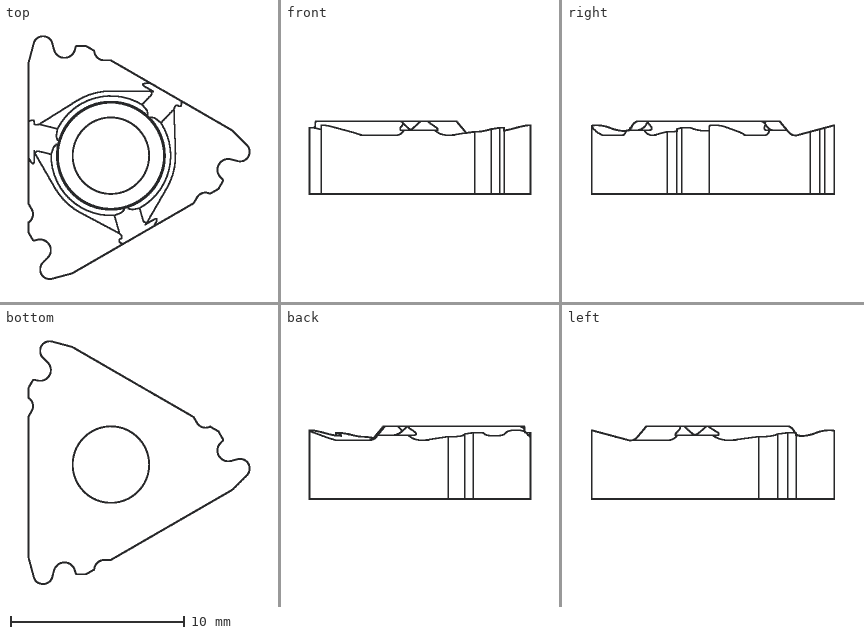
import cadquery as cq
import math

LENGTH = 14.02
HEIGHT = 4.2
CORNERS = 3
CORNER_TURN = 360.0 / CORNERS

WALL = 4.77
SIDE_ANGLE = 180 - CORNER_TURN
RELIEF_ANGLE = 15.0
TOOTH_R = 0.56
TOOTH_CENTRE_Y = 6.34
NOTCH_R = 0.62
NOTCH_CENTRE_Y = 6.27
NOTCH_END_ANGLE = -15.0
CREST_Y = 6.34
CREST_ROUND = 0.11
STEP_Y = 5.51
STEP_R = 0.56
STEP_CENTRE_X = -0.39

FLOOR_Z = 3.39
RAMP_START = 4.71
RAMP_ANGLE = 15.0
RAMP_BLEND_R = 0.48
CLEARANCE = 0.56
SELECT_GAP = 0.01
BLANK_R = 9.11
ROOT_REACH = 7.01

BOSS_TOP = 3.73
BOSS_SLOPE = 50.0
BOSS_TURN = 32.0
BOSS_ROOT_R = 0.49

LEDGE_Z = 3.67
LEDGE_DEPTH = 0.34
LEDGE_CUT_LENGTH = 5.61
LEDGE_ROOT_R = 0.22

GROOVE_FLOOR_Z = 3.69
GROOVE_FLOOR = 0.39
GROOVE_TOP = 1.51
GROOVE_ROOT_R = 0.42
GROOVE_MOUTH_R = 0.22
GROOVE_INNER = 1.4

HOLE_R = 4.4 / 2
HOLE_STRAIGHT = 0.83
SEAT_TOP_R = 2.86
SEAT_TOP_Z = 2.41
BORE_R = 2.97
BORE_LEAN = 5.0
BORE_RIM = 0.07
RECESS_TOP_R = 3.45
RECESS_ROOT_TOP_R = 3.36
RECESS_ROOT_R = 0.22


def polar(radius, degrees, centre=(0.0, 0.0)):
    angle = math.radians(degrees)
    return (centre[0] + radius * math.cos(angle), centre[1] + radius * math.sin(angle))


def turned(point, degrees):
    return polar(math.hypot(*point), math.degrees(math.atan2(point[1], point[0])) + degrees)


def at_each_corner(shape):
    """Union of the shape and its copies turned to the other corners."""
    copies = shape
    for i in range(1, CORNERS):
        copies = copies.union(shape.rotate((0, 0, 0), (0, 0, 1), i * CORNER_TURN))
    return copies


def side_point_at_height(y):
    """Point at the given y on the straight side that faces SIDE_ANGLE."""
    facing = polar(1, SIDE_ANGLE)
    return ((WALL - y * facing[1]) / facing[0], y)


def corner_pieces():
    """Start point and pieces of one corner, clockwise; (end,) is a line, (middle, end) an arc."""
    turn = math.radians(CORNER_TURN)
    tooth_x = -(LENGTH - 2 * TOOTH_R - TOOTH_CENTRE_Y * (1 - math.cos(turn))) / math.sin(turn)
    tooth = (tooth_x, TOOTH_CENTRE_Y)
    tooth_start = polar(TOOTH_R, 180 - RELIEF_ANGLE, tooth)
    tooth_end = polar(TOOTH_R, RELIEF_ANGLE, tooth)
    lean = math.tan(math.radians(RELIEF_ANGLE))
    relief_start = (-WALL, tooth_start[1] - (tooth_start[0] + WALL) / lean)

    flank_reach = (TOOTH_R + NOTCH_R) / math.cos(math.radians(RELIEF_ANGLE))
    notch = (tooth[0] + flank_reach + (TOOTH_CENTRE_Y - NOTCH_CENTRE_Y) * lean, NOTCH_CENTRE_Y)
    notch_start = polar(NOTCH_R, 180 + RELIEF_ANGLE, notch)
    notch_end = polar(NOTCH_R, NOTCH_END_ANGLE, notch)

    rise = math.radians(90 + NOTCH_END_ANGLE)
    edge_x = notch_end[0] + (CREST_Y - notch_end[1]) / math.tan(rise)
    tangent = CREST_ROUND * math.tan(rise / 2)
    round_start = (edge_x - tangent * math.cos(rise), CREST_Y - tangent * math.sin(rise))
    round_end = (edge_x + tangent, CREST_Y)
    round_centre = (round_end[0], CREST_Y - CREST_ROUND)
    round_middle = polar(CREST_ROUND, 90 + math.degrees(rise) / 2, round_centre)

    step = (STEP_CENTRE_X, STEP_Y + STEP_R)
    facing = polar(1, SIDE_ANGLE)
    outside = step[0] * facing[0] + step[1] * facing[1] - WALL
    start_angle = SIDE_ANGLE + 180 - math.degrees(math.acos(outside / STEP_R))
    step_start = polar(STEP_R, start_angle, step)
    step_middle = polar(STEP_R, (start_angle + 270) / 2, step)

    return relief_start, [
        (tooth_start,),
        (polar(TOOTH_R, 90, tooth), tooth_end),
        (notch_start,),
        (polar(NOTCH_R, 270, notch), notch_end),
        (round_start,),
        (round_middle, round_end),
        (side_point_at_height(CREST_Y),),
        (step_start,),
        (step_middle, (STEP_CENTRE_X, STEP_Y)),
        (side_point_at_height(STEP_Y),),
    ]


def outline_prism():
    start, pieces = corner_pieces()
    path = cq.Workplane("XY").moveTo(*start)
    for i in range(CORNERS):
        turn = -i * CORNER_TURN
        if i > 0:
            path = path.lineTo(*turned(start, turn))
        for piece in pieces:
            points = [turned(point, turn) for point in piece]
            path = path.lineTo(*points[0]) if len(points) == 1 else path.threePointArc(*points)
    return path.close().extrude(HEIGHT)


def blank_with_boss():
    """Round floor with the sloping boss, which is still sharp where the sides will trim it."""
    boss_height = HEIGHT - FLOOR_Z
    foot = BOSS_TOP + boss_height / math.tan(math.radians(BOSS_SLOPE))
    sharp_half_turn = (CORNER_TURN - BOSS_TURN) / 2
    path = cq.Workplane("XY", origin=(0, 0, FLOOR_Z)).moveTo(*polar(foot, 90))
    for i in range(CORNERS):
        first = 90 + i * CORNER_TURN
        last = first + BOSS_TURN
        path = path.threePointArc(polar(foot, (first + last) / 2), polar(foot, last))
        sharp = foot / math.cos(math.radians(sharp_half_turn))
        path = path.lineTo(*polar(sharp, last + sharp_half_turn))
        if i < CORNERS - 1:
            path = path.lineTo(*polar(foot, first + CORNER_TURN))
    boss = path.close().extrude(boss_height, taper=90 - BOSS_SLOPE)
    floor = cq.Workplane("XY").circle(BLANK_R).extrude(FLOOR_Z)
    root = cq.selectors.BoxSelector(
        (-ROOT_REACH, -ROOT_REACH, FLOOR_Z - SELECT_GAP),
        (ROOT_REACH, ROOT_REACH, FLOOR_Z + SELECT_GAP),
    )
    return floor.union(boss).edges(root).fillet(BOSS_ROOT_R)


def corner_ramp():
    slope = math.radians(RAMP_ANGLE)
    tangent = RAMP_BLEND_R * math.tan(slope / 2)
    run = BLANK_R - RAMP_START
    blend_end = (RAMP_START + tangent * math.cos(slope), FLOOR_Z + tangent * math.sin(slope))
    blend_centre = (RAMP_START - tangent, FLOOR_Z + RAMP_BLEND_R)
    return (
        cq.Workplane("YZ", origin=(-BLANK_R, 0, 0))
        .moveTo(RAMP_START - tangent, FLOOR_Z)
        .threePointArc(polar(RAMP_BLEND_R, 270 + RAMP_ANGLE / 2, blend_centre), blend_end)
        .lineTo(BLANK_R, FLOOR_Z + run * math.tan(slope))
        .lineTo(BLANK_R, 0)
        .lineTo(RAMP_START - tangent, 0)
        .close()
        .extrude(2 * BLANK_R)
    )


def side_ledge():
    """Cutter above the ledge on the -X side."""
    return (
        cq.Workplane("XY", origin=(-WALL - LEDGE_DEPTH, 0, LEDGE_Z))
        .box(4 * LEDGE_DEPTH, LEDGE_CUT_LENGTH, HEIGHT, centered=(True, True, False))
        .edges("|Y and >X and <Z")
        .fillet(LEDGE_ROOT_R)
    )


def corner_groove():
    """Cutter for the groove on the sharp boss corner beside the -X ledge."""
    angle = 90 + CORNER_TURN - (CORNER_TURN - BOSS_TURN) / 2
    half_floor = GROOVE_FLOOR / 2
    spread = (GROOVE_TOP - GROOVE_FLOOR) / 2 / (HEIGHT - GROOVE_FLOOR_Z)
    top_z = HEIGHT + CLEARANCE
    half_top = half_floor + spread * (top_z - GROOVE_FLOOR_Z)
    section = [
        (-half_floor, GROOVE_FLOOR_Z),
        (half_floor, GROOVE_FLOOR_Z),
        (half_top, top_z),
        (-half_top, top_z),
    ]
    groove = cq.Workplane("YZ", origin=(GROOVE_INNER, 0, 0)).polyline(section).close()
    groove = groove.extrude(BLANK_R - GROOVE_INNER)
    groove = groove.edges("|X and <Z").fillet(GROOVE_ROOT_R)
    return groove.rotate((0, 0, 0), (0, 0, 1), angle)


def ledge_and_groove():
    """Ledge and groove cutters joined, with the edges between their walls rounded."""
    wall_x = LEDGE_DEPTH - WALL
    mouth = cq.selectors.BoxSelector(
        (wall_x - SELECT_GAP, -BLANK_R, LEDGE_Z + LEDGE_ROOT_R + SELECT_GAP),
        (wall_x + SELECT_GAP, BLANK_R, HEIGHT + CLEARANCE - SELECT_GAP),
    )
    return side_ledge().union(corner_groove()).edges(mouth).fillet(GROOVE_MOUTH_R)


def screw_hole():
    """Cutter turned about Z: straight hole, rounded seat, bore and shallow recess."""
    seat_run = SEAT_TOP_R - HOLE_R
    seat_rise = SEAT_TOP_Z - HOLE_STRAIGHT
    seat_r = (seat_run ** 2 + seat_rise ** 2) / (2 * seat_run)
    seat_turn = math.degrees(math.asin(seat_rise / seat_r))
    seat_middle = polar(seat_r, 180 - seat_turn / 2, (HOLE_R + seat_r, HOLE_STRAIGHT))

    lean = math.radians(BORE_LEAN)
    corner_r = (BORE_R - SEAT_TOP_R) / (math.cos(lean) - math.cos(math.radians(seat_turn)))
    corner_x = BORE_R - corner_r * math.cos(lean)
    corner_z = SEAT_TOP_Z + corner_r * math.sin(math.radians(seat_turn))
    corner_middle = polar(corner_r, -(seat_turn + BORE_LEAN) / 2, (corner_x, corner_z))
    bore_start = polar(corner_r, -BORE_LEAN, (corner_x, corner_z))
    rim_z = GROOVE_FLOOR_Z - BORE_RIM
    rim_r = BORE_R + (rim_z - bore_start[1]) * math.tan(lean)

    root_centre = (RECESS_ROOT_TOP_R - RECESS_ROOT_R, GROOVE_FLOOR_Z + RECESS_ROOT_R)
    return (
        cq.Workplane("XZ")
        .moveTo(0, 0)
        .lineTo(HOLE_R, 0)
        .lineTo(HOLE_R, HOLE_STRAIGHT)
        .threePointArc(seat_middle, (SEAT_TOP_R, SEAT_TOP_Z))
        .threePointArc(corner_middle, bore_start)
        .lineTo(rim_r, rim_z)
        .lineTo(rim_r + BORE_RIM, GROOVE_FLOOR_Z)
        .lineTo(root_centre[0], GROOVE_FLOOR_Z)
        .threePointArc(polar(RECESS_ROOT_R, -45, root_centre), (RECESS_ROOT_TOP_R, root_centre[1]))
        .lineTo(RECESS_TOP_R, HEIGHT)
        .lineTo(0, HEIGHT)
        .close()
        .revolve(360, (0, 0, 0), (0, 1, 0))
    )


result = (
    blank_with_boss()
    .union(at_each_corner(corner_ramp()))
    .intersect(outline_prism())
    .cut(at_each_corner(ledge_and_groove()))
    .cut(screw_hole())
)